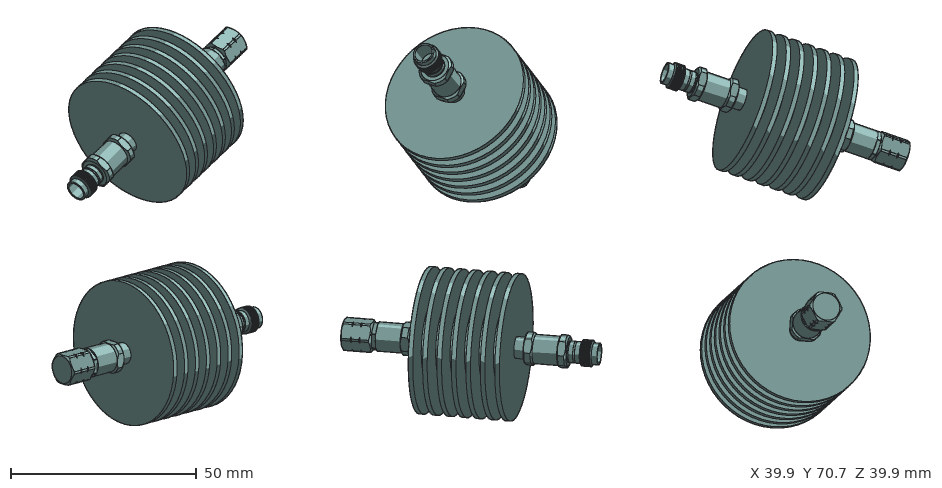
import cadquery as cq
import math

fin_radius = 19.97
hub_radius = fin_radius / 2
fin_count = 7
fin_pitch = 3.995
fin_thickness = 1.3
fins_front = -12.4
fins_back = fins_front + (fin_count - 1) * fin_pitch + fin_thickness

front_end = -35.35
back_end = 35.35
stem_radius = 3.0
barrel_radius = 3.995

front_inner_collar = -17.7
front_outer_collar = -27.0
back_collar = 16.3
collar_length = 2.55
front_collar_radius = 4.7
front_collar_across_flats = 8.5
back_collar_radius = 4.5
back_collar_across_flats = 8.1
front_collar_turn = 61.5
back_collar_turn = 3.0
collar_chamfer_length = 0.4

barrel_back_end = 25.7
neck_across_flats = 7.0
neck_turn = 3.0

groove_depth = 0.1
groove_spans = [(-27.35, front_outer_collar), (-29.1, -28.6)]
thread_front = -33.8
thread_back = -30.5
thread_radius = 3.6
thread_root_radius = 3.25
thread_pitch = 0.5
thread_ridges = 6
thread_crest_width = 0.15

socket_radius = 2.5
socket_depth = 4.95
contact_hole_radius = 1.05
contact_hole_depth = 2.1

nut_front = 26.95
nut_across_flats = 8.1
nut_turn = 30.0
nut_corner_radius = 4.5
nut_front_chamfer_length = 0.6
nut_front_chamfer_height = 1.0
nut_back_chamfer_length = 0.4
nut_back_chamfer_height = 0.7
nut_groove_places = [30.0, 32.4]
nut_groove_radius = 4.3
nut_groove_width = 0.4


def cylinder(radius, start, end):
    """Cylinder on the Y axis between two Y stations."""
    return cq.Workplane("XZ", origin=(0, end, 0)).circle(radius).extrude(end - start)


def turned(points):
    """Solid of revolution about Y from (radius, Y) points."""
    return cq.Workplane("XY").polyline(points).close().revolve(360, (0, 0, 0), (0, 1, 0))


def prism(sides, flat, turn, start, end):
    """Regular prism on the Y axis; turn is the angle from +X to the middle of a flat."""
    corner = flat / math.cos(math.pi / sides)
    angles = [math.radians(turn) + (2 * i + 1) * math.pi / sides for i in range(sides)]
    outline = [(corner * math.cos(a), corner * math.sin(a)) for a in angles]
    return cq.Workplane("XZ", origin=(0, end, 0)).polyline(outline).close().extrude(end - start)


def chamfered_disc(radius, start, end, start_chamfer, end_chamfer):
    """Disc with both rims chamfered; each chamfer is (length along Y, radial height)."""
    start_length, start_height = start_chamfer
    end_length, end_height = end_chamfer
    return turned([
        (0, start),
        (radius - start_height, start),
        (radius, start + start_length),
        (radius, end - end_length),
        (radius - end_height, end),
        (0, end),
    ])


def collar(radius, across_flats, turn, front):
    """Round collar with four wrench flats, its rims chamfered down to the barrel radius."""
    back = front + collar_length
    chamfer = (collar_chamfer_length, radius - barrel_radius)
    disc = chamfered_disc(radius, front, back, chamfer, chamfer)
    return disc.intersect(prism(4, across_flats / 2, turn, front, back))


def thread():
    """Row of ring-shaped ridges that slopes down to the stem at both ends."""
    centre = (thread_front + thread_back) / 2
    first_ridge = centre - (thread_ridges - 1) * thread_pitch / 2
    half_crest = thread_crest_width / 2
    half_pitch = thread_pitch / 2
    points = [(0, thread_front), (stem_radius, thread_front), (thread_root_radius, first_ridge - half_pitch)]
    for i in range(thread_ridges):
        middle = first_ridge + i * thread_pitch
        points += [
            (thread_radius, middle - half_crest),
            (thread_radius, middle + half_crest),
            (thread_root_radius, middle + half_pitch),
        ]
    points += [(stem_radius, thread_back), (0, thread_back)]
    return turned(points)


def make_attenuator():
    """Finned heat sink in one piece with the connector on each end."""
    body = cylinder(hub_radius, fins_front, fins_back)
    for i in range(fin_count):
        start = fins_front + i * fin_pitch
        body = body.union(cylinder(fin_radius, start, start + fin_thickness))

    body = body.union(cylinder(stem_radius, front_end, barrel_back_end))
    body = body.union(cylinder(barrel_radius, front_outer_collar, front_inner_collar))
    body = body.union(cylinder(barrel_radius, back_collar, barrel_back_end))
    neck = prism(6, neck_across_flats / 2, neck_turn, barrel_back_end, nut_front)
    body = body.union(neck.intersect(cylinder(barrel_radius, barrel_back_end, nut_front)))

    for front in (front_outer_collar, front_inner_collar):
        body = body.union(collar(front_collar_radius, front_collar_across_flats, front_collar_turn, front))
    body = body.union(collar(back_collar_radius, back_collar_across_flats, back_collar_turn, back_collar))

    for start, end in groove_spans:
        ring = cylinder(barrel_radius, start, end).cut(cylinder(stem_radius - groove_depth, start, end))
        body = body.cut(ring)
    body = body.union(thread())

    socket_floor = front_end + socket_depth
    body = body.cut(cylinder(socket_radius, front_end, socket_floor))
    return body.cut(cylinder(contact_hole_radius, socket_floor, socket_floor + contact_hole_depth))


def make_coupling_nut():
    """Hexagonal nut with rounded corners, chamfered ends and two V-grooves across the corners."""
    nut = chamfered_disc(nut_corner_radius, nut_front, back_end,
                         (nut_front_chamfer_length, nut_front_chamfer_height),
                         (nut_back_chamfer_length, nut_back_chamfer_height))
    nut = nut.intersect(prism(6, nut_across_flats / 2, nut_turn, nut_front, back_end))
    for place in nut_groove_places:
        nut = nut.cut(turned([
            (nut_groove_radius, place),
            (nut_corner_radius, place + nut_groove_width / 2),
            (nut_corner_radius, place - nut_groove_width / 2),
        ]))
    return nut


attenuator = make_attenuator()
coupling_nut = make_coupling_nut()
result = cq.Compound.makeCompound([attenuator.val(), coupling_nut.val()])